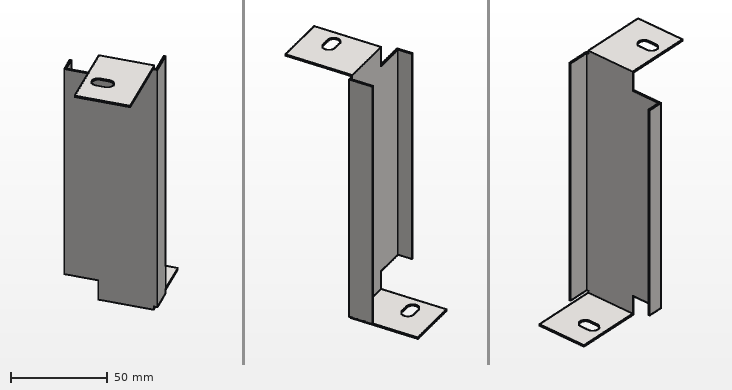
import cadquery as cq

height = 152.0
width = 51.0
sheet = 1.0
tab_reach = 40.0
tab_width = 30.4
tab_right_inset = 2.0
left_flange_depth = 9.3
left_flange_inset = 12.0
right_flange_depth = 13.8
right_flange_inset = 2.0
slot_length = 12.0
slot_width = 7.0
slot_left_margin = 4.1
slot_to_tip = 16.0

left = -width / 2
right = width / 2
bottom = -height / 2
tab_right = right - tab_right_inset
tab_left = tab_right - tab_width
slot_x = tab_left + slot_left_margin + slot_length / 2


def block(x, y, z):
    """Box spanning the given (low, high) pairs."""
    size = [high - low for low, high in (x, y, z)]
    return cq.Workplane().box(*size, centered=False).translate((x[0], y[0], z[0]))


def span(inset):
    """Z range left after trimming both ends of the part by the inset."""
    return (bottom + inset, -bottom - inset)


def end_tab(y, z, slot_y):
    """Horizontal mounting tab with one elongated hole along X."""
    slot = (
        cq.Workplane("XY", origin=(slot_x, slot_y, z[0]))
        .slot2D(slot_length, slot_width)
        .extrude(sheet)
    )
    return block((tab_left, tab_right), y, z).cut(slot)


web = (
    block((tab_left, tab_right), (0, sheet), span(0))
    .union(block((left, tab_right), (0, sheet), span(left_flange_inset)))
    .union(block((tab_left, right), (0, sheet), span(right_flange_inset)))
)

left_flange = block((left, left + sheet), (0, left_flange_depth), span(left_flange_inset))
right_flange = block((right - sheet, right), (0, right_flange_depth), span(right_flange_inset))

top_tip = sheet - tab_reach
top_tab = end_tab((top_tip, sheet), (-bottom - sheet, -bottom), top_tip + slot_to_tip)
bottom_tab = end_tab((0, tab_reach), (bottom, bottom + sheet), tab_reach - slot_to_tip)

result = web.union(left_flange).union(right_flange).union(top_tab).union(bottom_tab)